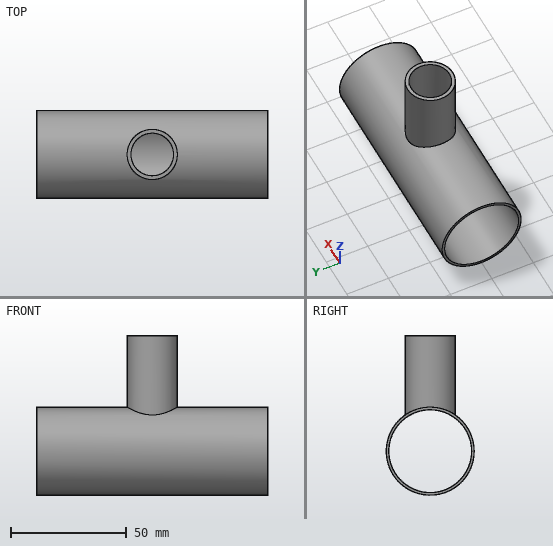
import cadquery as cq

run_length = 100.0
run_outer_diameter = 38.1
run_bore_diameter = 35.7

branch_outer_diameter = 21.7
branch_bore_diameter = 18.4
overall_height = 69.0
branch_top = overall_height - run_outer_diameter / 2


def run_cylinder(diameter):
    """Full-length cylinder on the main pipe axis."""
    return cq.Workplane("YZ").circle(diameter / 2).extrude(run_length / 2, both=True)


def branch_cylinder(diameter):
    """Cylinder from the main pipe axis up to the branch's open end."""
    return cq.Workplane("XY").circle(diameter / 2).extrude(branch_top)


body = run_cylinder(run_outer_diameter).union(branch_cylinder(branch_outer_diameter))
result = body.cut(run_cylinder(run_bore_diameter)).cut(branch_cylinder(branch_bore_diameter))